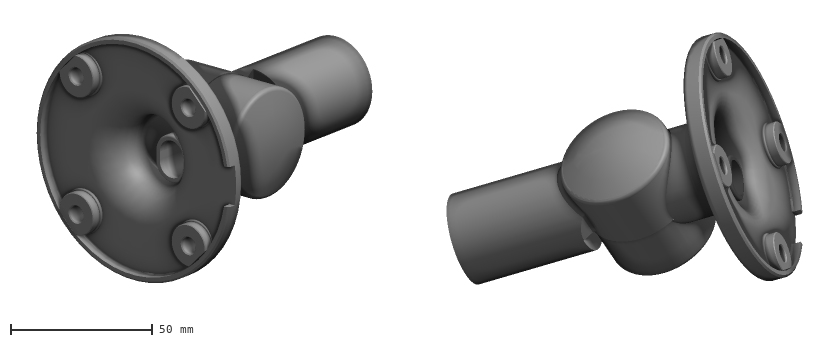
import cadquery as cq
import math

flange_radius = 45.0
boss_face_y = 0.0
rim_face_y = 0.35
rim_back_y = 7.6
rim_fillet = 2.0
rim_chamfer = 0.7
rim_inner_radius = 42.8
rim_root_fillet = 0.7
recess_floor_y = 3.7
cone_rise = 1.0
neck_radius = 17.0
neck_start_y = 18.8
neck_top_y = 36.0
flare_radius = neck_start_y - rim_back_y - cone_rise
bore_radius = 12.9
bore_mouth_y = 18.0
bore_flare_radius = bore_mouth_y - recess_floor_y - cone_rise
bore_end_fillet = 1.0
recess_slope = cone_rise / (rim_inner_radius - rim_root_fillet - bore_radius - bore_flare_radius)
recess_edge_y = recess_floor_y - recess_slope * (flange_radius - rim_inner_radius + rim_root_fillet)

boss_offset = 25.9
boss_radius = 7.9
boss_top_chamfer = 0.3
boss_root_fillet = 0.6
boss_root_y = 4.1
boss_hole_radius = 3.1
boss_hole_chamfer = 0.4
boss_flat_distance = 42.3
notch_half_width = 7.5

pivot_y = 45.4
split_x = 3.4
knuckle_radius = 20.5
knuckle_edge_x = 25.3
knuckle_dome_x = 28.3
disc_radius = 21.0
disc_edge_x = -19.7
disc_dome_x = -24.3
hinge_edge_inset = 1.5
hinge_edge_length = 2.1
disc_clearance = 0.4
cup_wall = 2.5

spout_end_y = 10.3
spout_x = 9.3
spout_width = 14.6
spout_height = 17.8
spout_outer_limit = 15.8
spout_fillet = 0.9
spout_hole_x = 9.45
spout_hole_width = 10.7
spout_hole_height = 14.0
spout_floor_radius = 15.0

arm_x = 0.5
arm_radius = 16.75
arm_end_y = 111.5
arm_shoulder_y = 66.0
web_start_y = 52.0
web_half_height = 14.2
web_flat_end_y = 62.3
web_bevel_angle = 37.0
gusset_corner = (-16.25, 68.8)
gusset_angle = 39.0
gusset_length = 5.0

DIAGONAL = math.sqrt(0.5)


def revolve_about_y(outline):
    return outline.close().revolve(360, (0, 0, 0), (0, 1, 0))


def cylinder_along_x(radius, start_x, end_x):
    return (cq.Workplane("YZ", origin=(start_x, pivot_y, 0))
            .circle(radius).extrude(end_x - start_x))


def cylinder_along_y(radius, start_y, end_y, x=0.0, z=0.0):
    return (cq.Workplane("XZ", origin=(x, start_y, z))
            .circle(radius).extrude(start_y - end_y))


def upright_slot_along_y(width, height, start_y, end_y, x):
    return (cq.Workplane("XZ", origin=(x, start_y, 0))
            .slot2D(height, width, 90).extrude(start_y - end_y))


def domed_hinge_half(radius, edge_x, dome_x):
    """Half of the hinge barrel, from the split plane to a domed outer end."""
    outward = math.copysign(1, dome_x)
    dome_edge_radius = radius - hinge_edge_inset
    cylinder_end_x = edge_x - outward * hinge_edge_length
    dome_height = abs(dome_x - edge_x)
    dome_radius = (dome_edge_radius ** 2 + dome_height ** 2) / (2 * dome_height)
    half_angle = math.asin(dome_edge_radius / dome_radius) / 2
    dome_middle = (dome_x - outward * dome_radius * (1 - math.cos(half_angle)),
                   pivot_y + dome_radius * math.sin(half_angle))
    round_middle = (cylinder_end_x + outward * hinge_edge_length * DIAGONAL,
                    pivot_y + radius - hinge_edge_inset * (1 - DIAGONAL))
    return (cq.Workplane("XY")
            .moveTo(split_x, pivot_y)
            .lineTo(split_x, pivot_y + radius)
            .lineTo(cylinder_end_x, pivot_y + radius)
            .threePointArc(round_middle, (edge_x, pivot_y + dome_edge_radius))
            .threePointArc(dome_middle, (dome_x, pivot_y))
            .close()
            .revolve(360, (split_x, pivot_y, 0), (split_x + 1, pivot_y, 0)))


def flange_body():
    """Plate, flare and neck as a solid of revolution."""
    flare_middle = (neck_radius + flare_radius * (1 - DIAGONAL),
                    neck_start_y - flare_radius * DIAGONAL)
    return revolve_about_y(
        cq.Workplane("XY")
        .moveTo(0, rim_face_y)
        .lineTo(flange_radius - rim_chamfer, rim_face_y)
        .lineTo(flange_radius, rim_face_y + rim_chamfer)
        .lineTo(flange_radius, rim_back_y - rim_fillet)
        .radiusArc((flange_radius - rim_fillet, rim_back_y), -rim_fillet)
        .lineTo(neck_radius + flare_radius, rim_back_y + cone_rise)
        .threePointArc(flare_middle, (neck_radius, neck_start_y))
        .lineTo(neck_radius, neck_top_y)
        .lineTo(0, neck_top_y))


def flange_hollow():
    """Space under the sloping plate and up the neck, ending at the cup that holds the disc."""
    flare_middle = (bore_radius + bore_flare_radius * (1 - DIAGONAL),
                    bore_mouth_y - bore_flare_radius * DIAGONAL)
    hollow = revolve_about_y(
        cq.Workplane("XY")
        .moveTo(0, boss_face_y)
        .lineTo(flange_radius, boss_face_y)
        .lineTo(flange_radius, recess_edge_y)
        .lineTo(bore_radius + bore_flare_radius, recess_floor_y + cone_rise)
        .threePointArc(flare_middle, (bore_radius, bore_mouth_y))
        .lineTo(bore_radius, neck_top_y)
        .lineTo(0, neck_top_y))
    cup = cylinder_along_x(
        disc_radius + disc_clearance + cup_wall, -flange_radius, flange_radius)
    return hollow.cut(cup).faces(">Y").edges().fillet(bore_end_fillet)


def rim(body):
    """Raised rim around the plate, with a root fillet and the cable notch on the +X side."""
    root_radius = rim_inner_radius - rim_root_fillet
    under_rim = revolve_about_y(
        cq.Workplane("XY")
        .moveTo(flange_radius, rim_face_y)
        .lineTo(rim_inner_radius, rim_face_y)
        .lineTo(rim_inner_radius, recess_floor_y - rim_root_fillet)
        .radiusArc((root_radius, recess_floor_y), -rim_root_fillet)
        .lineTo(root_radius, rim_back_y - rim_fillet)
        .lineTo(flange_radius, rim_back_y - rim_fillet))
    notch = cq.Workplane("XY").box(
        flange_radius, rim_back_y, 2 * notch_half_width, centered=(False, False, True))
    return body.intersect(under_rim).cut(notch)


def flange_shell():
    body = flange_body()
    return body.cut(flange_hollow()).union(rim(body))


def screw_boss():
    foot_radius = boss_radius + boss_root_fillet
    buried_y = rim_back_y - rim_fillet
    return revolve_about_y(
        cq.Workplane("XY")
        .moveTo(0, boss_face_y)
        .lineTo(boss_radius - boss_top_chamfer, boss_face_y)
        .lineTo(boss_radius, boss_face_y + boss_top_chamfer)
        .lineTo(boss_radius, boss_root_y - boss_root_fillet)
        .radiusArc((foot_radius, boss_root_y), -boss_root_fillet)
        .lineTo(foot_radius, buried_y)
        .lineTo(0, buried_y))


def screw_hole():
    return revolve_about_y(
        cq.Workplane("XY")
        .moveTo(0, boss_face_y)
        .lineTo(boss_hole_radius + boss_hole_chamfer, boss_face_y)
        .lineTo(boss_hole_radius, boss_face_y + boss_hole_chamfer)
        .lineTo(boss_hole_radius, neck_start_y)
        .lineTo(0, neck_start_y))


def add_screw_bosses(flange):
    trim = (cq.Workplane("XZ")
            .rect(2 * boss_flat_distance, 2 * boss_flat_distance)
            .extrude(-rim_back_y)
            .rotate((0, 0, 0), (0, 1, 0), 45))
    for x in (-boss_offset, boss_offset):
        for z in (-boss_offset, boss_offset):
            boss = screw_boss().translate((x, 0, z)).intersect(trim)
            hole = screw_hole().translate((x, 0, z))
            flange = flange.union(boss).cut(hole)
    return flange


def add_spout(base):
    """Oval tube from the knuckle towards the plate, with a rounded mouth."""
    spout = upright_slot_along_y(spout_width, spout_height, spout_end_y, neck_top_y, spout_x)
    spout = spout.intersect(cylinder_along_y(spout_outer_limit, spout_end_y, neck_top_y))
    spout = spout.faces("<Y").edges().fillet(spout_fillet)
    hole = upright_slot_along_y(
        spout_hole_width, spout_hole_height, spout_end_y, pivot_y, spout_hole_x)
    hole = hole.cut(cylinder_along_x(spout_floor_radius, split_x, knuckle_edge_x))
    return base.union(spout).cut(hole)


def build_base():
    base = add_screw_bosses(flange_shell())
    base = base.union(domed_hinge_half(knuckle_radius, knuckle_edge_x, knuckle_dome_x))
    disc_recess = cylinder_along_x(disc_radius + disc_clearance, disc_dome_x, split_x)
    return add_spout(base).cut(disc_recess)


def arm_web():
    """Bevelled web on the disc side of the arm, with the slanted gusset beside it."""
    bar = cylinder_along_y(arm_radius, web_start_y, arm_end_y, arm_x)
    slope = math.radians(gusset_angle)
    gusset_centre_y = gusset_corner[1] - (arm_x - gusset_corner[0]) * math.tan(slope)
    start_plane = cq.Plane(
        origin=(arm_x, gusset_centre_y, 0),
        xDir=(math.cos(slope), -math.sin(slope), 0),
        normal=(-math.sin(slope), -math.cos(slope), 0))
    gusset = (cq.Workplane(start_plane)
              .ellipse(arm_radius / math.cos(slope), arm_radius)
              .extrude(gusset_length))
    bevel_end_y = web_flat_end_y + (arm_radius - web_half_height) / math.tan(
        math.radians(web_bevel_angle))
    envelope = (cq.Workplane("YZ", origin=(disc_dome_x, 0, 0))
                .polyline([(pivot_y, web_half_height),
                           (web_flat_end_y, web_half_height),
                           (bevel_end_y, arm_radius),
                           (arm_end_y, arm_radius),
                           (arm_end_y, -arm_radius),
                           (bevel_end_y, -arm_radius),
                           (web_flat_end_y, -web_half_height),
                           (pivot_y, -web_half_height)])
                .close()
                .extrude(arm_x - disc_dome_x))
    return bar.union(gusset).intersect(envelope)


def build_arm():
    disc = domed_hinge_half(disc_radius, disc_edge_x, disc_dome_x)
    right_half = cq.Workplane("XY", origin=(arm_x, 0, 0)).box(
        arm_radius, arm_end_y, 2 * arm_radius, centered=(False, False, True))
    bar = cylinder_along_y(arm_radius, arm_shoulder_y, arm_end_y, arm_x).intersect(right_half)
    return disc.union(bar).union(arm_web())


base = build_base()
arm = build_arm()

result = cq.Compound.makeCompound([base.solids().val(), arm.solids().val()])